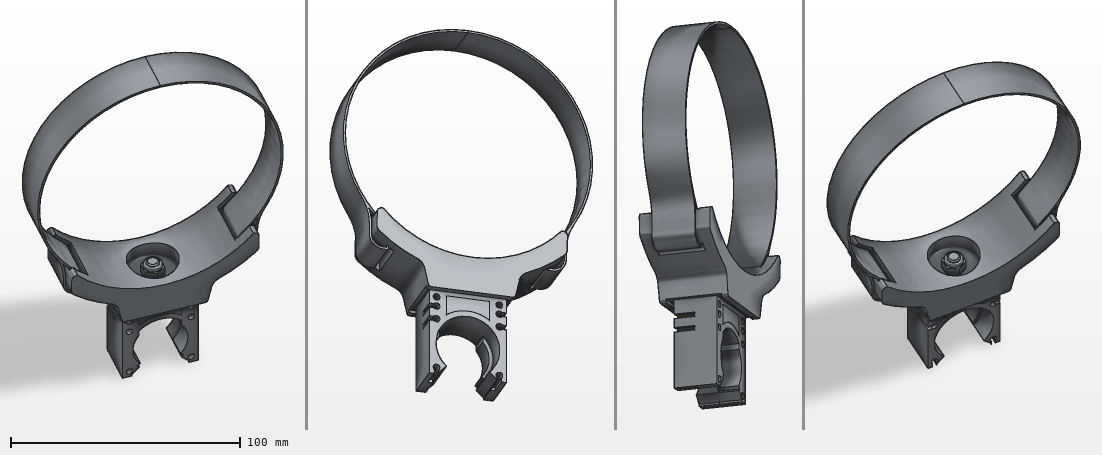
import cadquery as cq
import math


band_outer_radius = 56.92
band_thickness = 1.0
band_width = 20.0
overall_height = 167.06

saddle_width = 33.15
saddle_top_z = -36.9
saddle_seat_radius = 54.95
saddle_back_radius = 64.0
saddle_half_length = 43.4
saddle_end_fillet = 2.2
saddle_heel_fillet = 3.4
saddle_draft_angle = 1.0
saddle_bottom_z = -71.5
neck_top_half = 22.9
neck_top_z = -57.0
neck_bottom_half = 19.7
neck_root_fillet = 6.0
neck_bottom_fillet = 1.5
channel_width = 25.8
channel_depth = 1.4

recess_width = 22.6
slot_width = 21.6
slot_inner_y = 34.0
slot_outer_y = 37.2

well_diameter = 23.0
well_floor_z = -62.3
well_floor_fillet = 1.2

hook_join_y = 48.5
hook_bottom_z = -53.5
hook_bend_radius = 6.5
hook_side_y = 45.0
hook_toe_fillet = 0.9
strap_bend_radius = 3.0

clip_width = 20.0
clip_half_length = 17.6
bore_z = -95.2
bore_radius = 14.5
lip_radius = 12.7
lip_end_angle = 43.0
mouth_half = 9.75
mouth_flare_half = 13.2
mouth_flare_rise = 0.9
pin_hole_diameter = 3.0
pin_hole_y = 14.35
pin_hole_heights = (-73.2, -77.6, -83.7, -107.1)
side_slot_height = 2.0
side_slot_depth = 9.6
side_slot_heights = pin_hole_heights[1:3]

block_half_length = 9.85
block_top_z = -72.1
block_arc_radius = 17.1
stud_diameter = 6.0
stud_top_z = -54.9
stud_chamfer = 0.7
nut_across_flats = 9.3
nut_hex_height = 4.5
nut_height = 6.5
nut_collar_diameter = 8.4
nut_collar_fillet = 0.8

band_inner_radius = band_outer_radius - band_thickness
clip_bottom_z = band_outer_radius - overall_height
clip_top_z = saddle_bottom_z + channel_depth
strap_leg_y = slot_outer_y - band_thickness


def circle_drop(radius, y):
    """Z of the lower half of a circle about the X axis."""
    return -math.sqrt(radius**2 - y**2)


def centred(profile, width):
    """Extrude a YZ profile symmetrically about X = 0."""
    return profile.extrude(width / 2, both=True)


def box(x_range, y_range, z_range):
    """Box between the low and high limits along each axis."""
    size = [high - low for low, high in (x_range, y_range, z_range)]
    return cq.Workplane("XY").box(*size, centered=False).translate((x_range[0], y_range[0], z_range[0]))


def make_saddle_blank():
    """Arched saddle with its neck, rounded along X and drafted on both X faces."""
    half_width = saddle_width / 2
    arch = centred(cq.Workplane("YZ").circle(saddle_back_radius), saddle_width)
    arch = arch.intersect(box(
        (-half_width, half_width),
        (-saddle_half_length, saddle_half_length),
        (-saddle_back_radius, saddle_top_z),
    ))
    arch = arch.edges("|X and >Z").fillet(saddle_end_fillet)
    arch = arch.edges("|X").edges(">Y or <Y").edges("<Z").fillet(saddle_heel_fillet)
    neck = centred(
        cq.Workplane("YZ").polyline([
            (-neck_top_half, neck_top_z),
            (neck_top_half, neck_top_z),
            (neck_bottom_half, saddle_bottom_z),
            (-neck_bottom_half, saddle_bottom_z),
        ]).close(),
        saddle_width,
    )
    body = arch.union(neck)
    root_z = circle_drop(saddle_back_radius, neck_top_half)
    for side in (-1, 1):
        root = cq.selectors.BoxSelector(
            (-saddle_width, side * neck_top_half - 1, root_z - 1),
            (saddle_width, side * neck_top_half + 1, root_z + 1),
        )
        body = body.edges(root).edges("|X").fillet(neck_root_fillet)
    body = body.edges("|X and <Z").fillet(neck_bottom_fillet)
    seat = centred(cq.Workplane("YZ").circle(saddle_seat_radius), saddle_width)
    body = body.cut(seat)

    draft = (saddle_top_z - saddle_bottom_z) * math.tan(math.radians(saddle_draft_angle))
    drafted = (
        cq.Workplane("XZ").polyline([
            (-half_width, saddle_top_z),
            (half_width, saddle_top_z),
            (half_width - draft, saddle_bottom_z),
            (draft - half_width, saddle_bottom_z),
        ]).close().extrude(saddle_half_length, both=True)
    )
    return body.intersect(drafted)


def make_strap_passage(side):
    """Recess under the band at one saddle end, and the slot the strap goes down through."""
    low_y, high_y = sorted((side * slot_inner_y, side * saddle_half_length))
    recess = centred(cq.Workplane("YZ").circle(band_outer_radius), recess_width).intersect(
        box((-recess_width / 2, recess_width / 2), (low_y, high_y), (-band_outer_radius, saddle_top_z))
    )
    low_y, high_y = sorted((side * slot_inner_y, side * slot_outer_y))
    slot = box((-slot_width / 2, slot_width / 2), (low_y, high_y), (-saddle_back_radius, saddle_top_z))
    passage = recess.union(slot)
    rim = (0, side * slot_outer_y, circle_drop(band_outer_radius, slot_outer_y))
    rim_edge = passage.edges(cq.selectors.NearestToPointSelector(rim))
    return rim_edge.fillet(strap_bend_radius - band_thickness)


def make_saddle():
    body = make_saddle_blank()
    half_channel = channel_width / 2
    body = body.cut(box(
        (-half_channel, half_channel),
        (-neck_top_half, neck_top_half),
        (saddle_bottom_z, clip_top_z),
    ))
    for side in (-1, 1):
        body = body.cut(make_strap_passage(side))
    well = cq.Workplane("XY").workplane(offset=well_floor_z).circle(well_diameter / 2)
    well = well.extrude(-well_floor_z).faces("<Z").edges().fillet(well_floor_fillet)
    stud_hole = cq.Workplane("XY").workplane(offset=saddle_bottom_z).circle(stud_diameter / 2)
    return body.cut(well).cut(stud_hole.extrude(-saddle_bottom_z))


def edge_along_x(body, y, z):
    """The edge of a band-wide body that runs along X closest to (y, z)."""
    return body.edges("|X").edges(cq.selectors.NearestToPointSelector((0, y, z)))


def make_strap(side):
    """Half of the band, ending in a closed loop around the bar at one saddle end."""
    join_z = circle_drop(band_outer_radius, hook_join_y)
    join = (hook_join_y, join_z)
    inner_ratio = band_inner_radius / band_outer_radius
    inner_join = (hook_join_y * inner_ratio, join_z * inner_ratio)

    leg_top_z = circle_drop(band_inner_radius, strap_leg_y)
    leg_top = (strap_leg_y, leg_top_z)
    leg_mid_angle = (math.atan2(*reversed(inner_join)) + math.atan2(*reversed(leg_top))) / 2
    leg_mid = (band_inner_radius * math.cos(leg_mid_angle), band_inner_radius * math.sin(leg_mid_angle))

    bend_y = hook_side_y - hook_bend_radius
    bend_z = hook_bottom_z + hook_bend_radius
    bend_offset = hook_bend_radius * math.sqrt(0.5)
    band_lean = math.atan2(-join_z, hook_join_y)
    side_top_z = join_z - (hook_join_y - hook_side_y) / math.tan(band_lean / 2)

    outline = (
        cq.Workplane("YZ").moveTo(*join)
        .lineTo(*inner_join)
        .threePointArc(leg_mid, leg_top)
        .lineTo(strap_leg_y, hook_bottom_z)
        .lineTo(bend_y, hook_bottom_z)
        .threePointArc((bend_y + bend_offset, bend_z - bend_offset), (hook_side_y, bend_z))
        .lineTo(hook_side_y, side_top_z)
        .tangentArcPoint(join, relative=False)
        .close()
    ).val()
    hook = centred(cq.Workplane("YZ").add(outline).toPending(), band_width)
    hook = edge_along_x(hook, *leg_top).fillet(strap_bend_radius)
    hook = edge_along_x(hook, strap_leg_y, hook_bottom_z).fillet(hook_toe_fillet)
    opening = centred(
        cq.Workplane("YZ").add(outline.offset2D(-band_thickness)).toPending(), band_width
    )
    opening = edge_along_x(opening, slot_outer_y, leg_top_z).fillet(strap_bend_radius - band_thickness)

    arc = centred(
        cq.Workplane("YZ").moveTo(0, band_inner_radius)
        .lineTo(0, band_outer_radius)
        .threePointArc((band_outer_radius, 0), join)
        .lineTo(*inner_join)
        .threePointArc((band_inner_radius, 0), (0, band_inner_radius))
        .close(),
        band_width,
    )
    strap = arc.union(hook.cut(opening))
    return strap if side > 0 else strap.mirror("XZ")


def make_block_profile():
    """Block outline, arched underneath to follow the bore."""
    corner_z = bore_z + math.sqrt(block_arc_radius**2 - block_half_length**2)
    return (
        cq.Workplane("YZ").moveTo(-block_half_length, block_top_z)
        .lineTo(block_half_length, block_top_z)
        .lineTo(block_half_length, corner_z)
        .threePointArc((0, bore_z + block_arc_radius), (-block_half_length, corner_z))
        .close()
    )


def make_bolt():
    """Block-shaped head held in the clip, with a stud rising into the saddle well."""
    head = centred(make_block_profile(), clip_width)
    stud = (
        cq.Workplane("XY").workplane(offset=block_top_z).circle(stud_diameter / 2)
        .extrude(stud_top_z - block_top_z).faces(">Z").chamfer(stud_chamfer)
    )
    return head.union(stud)


def make_nut():
    """Hexagon nut with a round collar on top."""
    corners = nut_across_flats / math.cos(math.pi / 6)
    base = cq.Workplane("XY").workplane(offset=well_floor_z)
    hexagon = base.polygon(6, corners).extrude(nut_hex_height)
    collar = base.circle(nut_collar_diameter / 2).extrude(nut_height).faces(">Z").edges()
    collar = collar.fillet(nut_collar_fillet)
    bore = base.circle(stud_diameter / 2).extrude(nut_height)
    return hexagon.union(collar).cut(bore)


def make_mouth():
    """Opening below the bore, flaring out towards the bottom."""
    tip_z = bore_z - math.sqrt(bore_radius**2 - mouth_half**2)
    flare_z = clip_bottom_z + mouth_flare_rise
    half_outline = [(mouth_half, tip_z), (mouth_flare_half, flare_z), (mouth_flare_half, clip_bottom_z)]
    mirrored = [(-y, z) for y, z in reversed(half_outline)]
    outline = cq.Workplane("YZ").polyline([(0, bore_z), *half_outline, *mirrored]).close()
    return centred(outline, clip_width)


def make_lip():
    """Ring step in the +X half of the bore, open at the top and at the mouth."""
    half_width = clip_width / 2
    ring = cq.Workplane("YZ").center(0, bore_z).circle(bore_radius).circle(lip_radius).extrude(half_width)
    top_gap = box(
        (0, half_width),
        (-block_half_length, block_half_length),
        (bore_z, bore_z + bore_radius),
    )
    reach = 2 * bore_radius
    drop = reach * math.tan(math.radians(lip_end_angle))
    mouth_gap = cq.Workplane("YZ").polyline([
        (0, bore_z),
        (reach, bore_z - drop),
        (-reach, bore_z - drop),
    ]).close().extrude(half_width)
    return ring.cut(top_gap).cut(mouth_gap)


def cut_pin_holes(clip, side):
    """Pin holes along X on one side, with the slots that open some of them up."""
    hole_y = side * pin_hole_y
    half_slot = side_slot_height / 2
    slot_x = (-clip_width / 2, side_slot_depth - clip_width / 2)
    for z in pin_hole_heights:
        hole = cq.Workplane("YZ").center(hole_y, z).circle(pin_hole_diameter / 2)
        clip = clip.cut(centred(hole, clip_width))
    slot_y = sorted((hole_y, side * clip_half_length))
    for z in side_slot_heights:
        clip = clip.cut(box(slot_x, slot_y, (z - half_slot, z + half_slot)))
    bottom_slot_y = (hole_y - half_slot, hole_y + half_slot)
    return clip.cut(box(slot_x, bottom_slot_y, (clip_bottom_z, pin_hole_heights[-1])))


def make_clip():
    half_width = clip_width / 2
    clip = box(
        (-half_width, half_width),
        (-clip_half_length, clip_half_length),
        (clip_bottom_z, clip_top_z),
    )
    bore = centred(cq.Workplane("YZ").center(0, bore_z).circle(bore_radius), clip_width)
    clip = clip.cut(bore).cut(make_mouth()).union(make_lip())
    for side in (-1, 1):
        clip = cut_pin_holes(clip, side)
    clip = clip.cut(centred(make_block_profile(), clip_width))
    stud_hole = cq.Workplane("XY").workplane(offset=block_top_z).circle(stud_diameter / 2)
    return clip.cut(stud_hole.extrude(clip_top_z - block_top_z))


saddle = make_saddle()
straps = [make_strap(side) for side in (1, -1)]
clip = make_clip()
bolt = make_bolt()
nut = make_nut()

result = cq.Compound.makeCompound(
    [saddle.val(), *[strap.val() for strap in straps], clip.val(), bolt.val(), nut.val()]
)